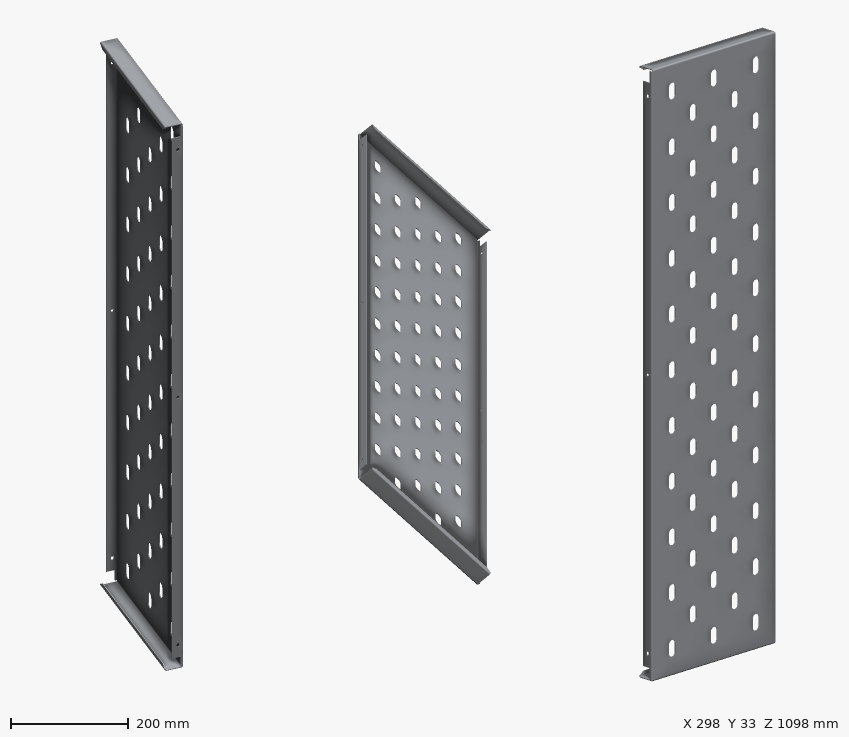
import cadquery as cq

width = 298.0
depth = 33.0
height = 1098.0

sheet = 1.5
inner_radius = 1.5
outer_radius = inner_radius + sheet

end_flange_width = width - 2 * outer_radius
lip_height = 10.0
lip_miter_width = 7.0
lip_step = 2.0
lip_miter_start = 4.0

side_flange_depth = 21.0
side_leg_depth = 5.0
side_leg_setback = 3.0
side_flange_setback = 24.0
side_flange_length = height - 2 * side_flange_setback

slot_length = 30.0
slot_width = 15.0
row_pitch = 100.0
column_pitch = 100.0
long_row_count = 11
long_column_count = 3

side_hole_diameter = 5.0
side_slot_length = 7.0
side_hole_setback = 10.0
side_slot_height = 500.0

back = depth / 2
front = -depth / 2
half_width = width / 2
half_height = height / 2


def make_panel():
    """Flat back sheet with the stretches that bend into the flanges left off."""
    return cq.Workplane("XY").box(
        width - 2 * outer_radius, sheet, height - 2 * outer_radius
    ).translate((0, back - sheet / 2, 0))


def make_side_bend():
    """Quarter-round bend and short straight leg along nearly the whole +X edge of the panel."""
    bend_start = half_width - outer_radius
    bend_length = height - 2 * side_leg_setback
    return (
        cq.Workplane("XY")
        .workplane(offset=-bend_length / 2)
        .moveTo(bend_start, back)
        .radiusArc((half_width, back - outer_radius), outer_radius)
        .lineTo(half_width, back - side_leg_depth)
        .lineTo(half_width - sheet, back - side_leg_depth)
        .lineTo(half_width - sheet, back - outer_radius)
        .radiusArc((bend_start, back - sheet), -inner_radius)
        .close()
        .extrude(bend_length)
    )


def make_side_flange():
    """Flat flange standing on the +X bend, shorter than the bend at both ends."""
    flat_depth = side_flange_depth - outer_radius
    return cq.Workplane("XY").box(sheet, flat_depth, side_flange_length).translate(
        (half_width - sheet / 2, back - outer_radius - flat_depth / 2, 0)
    )


def make_end_flange():
    """Bend, flange and mitered lip along the top edge of the panel."""
    bend_start = half_height - outer_radius
    lip_end = half_height - lip_height
    flange = (
        cq.Workplane("YZ")
        .workplane(offset=-end_flange_width / 2)
        .moveTo(back, bend_start)
        .radiusArc((back - outer_radius, half_height), -outer_radius)
        .lineTo(front + outer_radius, half_height)
        .radiusArc((front, bend_start), -outer_radius)
        .lineTo(front, lip_end)
        .lineTo(front + sheet, lip_end)
        .lineTo(front + sheet, bend_start)
        .radiusArc((front + outer_radius, half_height - sheet), inner_radius)
        .lineTo(back - outer_radius, half_height - sheet)
        .radiusArc((back - sheet, bend_start), inner_radius)
        .close()
        .extrude(end_flange_width)
    )
    lip_edge = end_flange_width / 2
    stepped_edge = lip_edge - lip_step
    miter_start = half_height - lip_miter_start
    for side in (-1, 1):
        miter = (
            cq.Workplane("XZ", origin=(0, front + outer_radius, 0))
            .moveTo(side * lip_edge, miter_start)
            .lineTo(side * lip_edge, lip_end)
            .lineTo(side * (stepped_edge - lip_miter_width), lip_end)
            .lineTo(side * stepped_edge, miter_start)
            .close()
            .extrude(outer_radius)
        )
        flange = flange.cut(miter)
    return flange


def slot_centers():
    """Long rows of slots, with a shorter row halfway between each two of them."""
    centers = []
    for row_count, column_count in (
        (long_row_count, long_column_count),
        (long_row_count - 1, long_column_count - 1),
    ):
        for row in range(row_count):
            for column in range(column_count):
                x = (column - (column_count - 1) / 2) * column_pitch
                z = (row - (row_count - 1) / 2) * row_pitch
                centers.append((x, z))
    return centers


def make_panel_slots():
    """Upright slots cut through the panel sheet."""
    return (
        cq.Workplane("XZ", origin=(0, back, 0))
        .pushPoints(slot_centers())
        .slot2D(slot_length, slot_width, 90)
        .extrude(sheet)
    )


def make_side_holes():
    """Round middle hole and two upright slots, running through both side flanges."""
    plane = cq.Workplane("YZ", origin=(-half_width, back - side_hole_setback, 0))
    middle = plane.circle(side_hole_diameter / 2).extrude(width)
    slots = (
        plane.pushPoints([(0, -side_slot_height), (0, side_slot_height)])
        .slot2D(side_slot_length, side_hole_diameter, 90)
        .extrude(width)
    )
    return middle.union(slots)


side_flange = make_side_bend().union(make_side_flange())
end_flange = make_end_flange()
result = (
    make_panel()
    .union(side_flange)
    .union(side_flange.mirror("YZ"))
    .union(end_flange)
    .union(end_flange.mirror("XY"))
    .cut(make_panel_slots())
    .cut(make_side_holes())
)